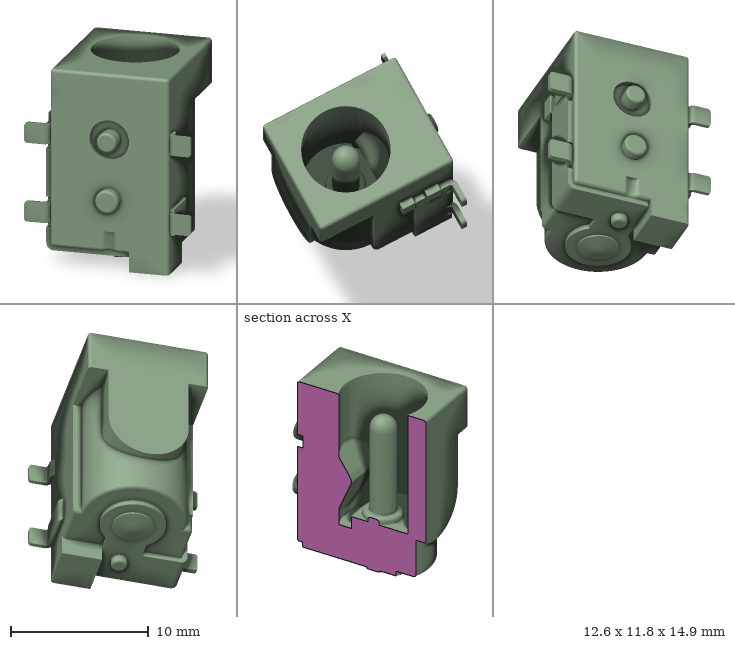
import cadquery as cq
import math


body_width = 9.0
body_rear = 11.0
body_depth = 13.48
total_depth = 14.9
collar_depth = 3.4
edge_radius = 0.25
half_width = body_width / 2

axis_y = 6.5
flank_y = 6.57
barrel_radius = 3.9
bore_radius = 3.25
bore_depth = 10.0
shoulder_radius = 1.5
shoulder_height = 0.5
pin_radius = 1.0
pin_tip_depth = 1.65

boss_radius = 3.0
boss_centre_depth = 7.7

leg_inner_x = 1.5
leg_rear = 3.4

spring_front = 3.0
spring_edge_y = 4.68
spring_slot_rear = 4.63
spring_half_width = 1.97
spring_top_depth = 4.5
spring_fold_y = 4.38
spring_fold_depth = 6.5
spring_slot_extra = 1.0
spring_edge_angle = math.radians(75)

peg_length = 0.8
peg_fillet = 0.2
upper_peg_depth = 5.0
upper_peg_radius = 0.75
peg_recess_radius = 1.5
peg_recess = 0.5
lower_peg_depth = 9.5
lower_peg_radius = 0.87
notch_top_depth = 11.96
notch_half_width = 0.59
notch_lip_radius = 0.27
notch_lip_angle = math.radians(45)
flank_relief_radius = 0.37

plate_thickness = 0.4
plate_outer_x = half_width + plate_thickness
plate_front = 0.4
plate_bend_outer = 0.55
plate_bend_inner = plate_bend_outer - plate_thickness
plate_end_radius = 0.18
lobe_radius = 2.4
neck_half_width = leg_inner_x
neck_fillet = 0.2
tab_width = 1.5
tab_top_depths = (4.26, 10.24)
foot_corner_radius = 0.22
left_foot_tip = 6.46
left_bend_inner = 0.2
slot_width = 0.4
slot_end_radius = 0.195
slot_end_y = 0.83
lug_corner_radius = 0.2

blocks = ((1.38, 2.46), (3.5, 4.5))
block_top_depth = 3.73
block_bottom_depth = 5.24
block_height = 0.53
block_clearance = 0.06

contact_thickness = 0.3
contact_bend_inner = 0.15
right_foot_tip = 6.16
upper_contact_rear = 1.33
lower_contact_rear = 3.8
contact_tail_radius = 0.5
wide_contact_depths = (10.0, 11.97)

rivet_radius = 1.52
rivet_rim = 0.12
rivet_tip_depth = 14.33
bottom_peg_y = 2.52
bottom_peg_radius = 0.6
bottom_peg_depth = 14.5


def box(x_range, y_range, depth_range):
    """Axis-aligned block; the depth range runs from its top to its bottom."""
    x0, x1 = x_range
    y0, y1 = y_range
    top, bottom = depth_range
    return cq.Workplane("XY").box(x1 - x0, y1 - y0, bottom - top, centered=False).translate((x0, y0, -bottom))


def post(radius, x, y, top, bottom):
    """Vertical cylinder between two depths."""
    return cq.Workplane("XY").center(x, y).circle(radius).extrude(bottom - top).translate((0, 0, -bottom))


def front_post(radius, depth, y_start, y_end):
    """Cylinder along Y, centred on X = 0."""
    plane = cq.Workplane("XZ", origin=(0, y_start, -depth))
    return plane.circle(radius).extrude(y_start - y_end)


def make_housing():
    collar = box((-half_width, half_width), (0, body_rear), (0, collar_depth))
    collar = collar.edges("|Z").fillet(edge_radius)
    collar = collar.faces(">Z").edges().fillet(edge_radius)

    trunk = box((-half_width, half_width), (0, flank_y), (edge_radius, body_depth))
    trunk = trunk.edges("|Z and <Y").fillet(edge_radius)
    trunk = trunk.cut(make_front_notch()).cut(make_flank_relief())
    trunk = trunk.faces("<Z").edges("not >Y").fillet(edge_radius)

    barrel = post(barrel_radius, 0, axis_y, collar_depth, body_depth)
    barrel = barrel.faces("<Z").edges().fillet(edge_radius)

    boss = box((-boss_radius, boss_radius), (axis_y, body_rear), (collar_depth, boss_centre_depth))
    boss = boss.union(front_post(boss_radius, boss_centre_depth, axis_y, body_rear))

    leg = box((leg_inner_x, half_width), (0, leg_rear), (collar_depth, total_depth))
    leg = leg.edges("|Z and >X and <Y").fillet(edge_radius)

    return collar.union(trunk).union(barrel).union(boss).union(leg)


def make_bore():
    """Round socket whose front segment, behind the spring, is sunk a little deeper."""
    bore = post(bore_radius, 0, axis_y, 0, bore_depth)
    deep = post(bore_radius, 0, axis_y, 0, bore_depth + spring_slot_extra)
    segment = box((-half_width, half_width), (0, spring_slot_rear), (0, total_depth))
    return bore.union(deep.intersect(segment))


def make_centre_pin():
    shoulder = post(shoulder_radius, 0, axis_y, bore_depth - shoulder_height, bore_depth)
    shoulder = shoulder.faces(">Z").edges().fillet(edge_radius)
    dome_depth = pin_tip_depth + pin_radius
    shaft = post(pin_radius, 0, axis_y, dome_depth, bore_depth)
    dome = cq.Workplane("XY").sphere(pin_radius).translate((0, axis_y, -dome_depth))
    return shoulder.union(shaft).union(dome)


def make_spring():
    """Sloped contact spring that leans towards the pin and steepens along a curve to its edge."""
    floor = -(bore_depth + spring_slot_extra)
    steepness = math.atan2(spring_fold_depth - spring_top_depth, spring_fold_y - spring_front)
    curve_radius = (spring_edge_y - spring_fold_y) / (math.sin(spring_edge_angle) - math.sin(steepness))
    edge_depth = spring_fold_depth + curve_radius * (math.cos(steepness) - math.cos(spring_edge_angle))
    profile = (
        cq.Workplane("YZ", origin=(-spring_half_width, 0, 0))
        .moveTo(spring_front, floor)
        .lineTo(spring_front, -spring_top_depth)
        .lineTo(spring_fold_y, -spring_fold_depth)
        .tangentArcPoint((spring_edge_y, -edge_depth), relative=False)
        .close()
    )
    return profile.extrude(2 * spring_half_width)


def make_front_notch():
    """Shallow scooped groove at the foot of the mounting face, with rounded lips."""
    angle = notch_lip_angle
    half_angle = angle / 2
    scoop_half_width = notch_half_width - notch_lip_radius * math.sin(angle)
    scoop_radius = scoop_half_width / math.sin(angle)
    lip_drop = notch_lip_radius * (1 - math.cos(angle))
    scoop_bottom = lip_drop + scoop_radius * (1 - math.cos(angle))
    lip_mid_x = notch_half_width - notch_lip_radius * math.sin(half_angle)
    lip_mid_y = notch_lip_radius * (1 - math.cos(half_angle))
    notch = (
        cq.Workplane("XY")
        .moveTo(-notch_half_width, 0)
        .threePointArc((-lip_mid_x, lip_mid_y), (-scoop_half_width, lip_drop))
        .threePointArc((0, scoop_bottom), (scoop_half_width, lip_drop))
        .threePointArc((lip_mid_x, lip_mid_y), (notch_half_width, 0))
        .close()
    )
    return notch.extrude(body_depth - notch_top_depth).translate((0, 0, -body_depth))


def make_flank_relief():
    """Rounds off the lower rear corner of the -X side, next to the barrel."""
    x_range = (-half_width, -half_width + flank_relief_radius)
    y_range = (flank_y - flank_relief_radius, flank_y)
    corner = box(x_range, y_range, (notch_top_depth, body_depth))
    rounding = post(flank_relief_radius, x_range[1], y_range[0], notch_top_depth, body_depth)
    return corner.cut(rounding)


def make_front_peg(radius, depth, root_y):
    peg = front_post(radius, depth, root_y, -peg_length)
    return peg.faces("<Y").edges().fillet(peg_fillet)


def make_bent_tab(side, wall_x, thickness, bend_inner, rear, tip_x, top, bottom):
    """Strip lying on a side wall that bends outwards into a soldering foot at Y = 0."""
    bend_outer = bend_inner + thickness
    bend_x = wall_x + bend_outer
    diagonal = math.sqrt(0.5)
    strip = (
        cq.Workplane("XY")
        .moveTo(side * wall_x, rear)
        .lineTo(side * wall_x, bend_outer)
        .threePointArc(
            (side * (bend_x - bend_outer * diagonal), bend_outer * (1 - diagonal)),
            (side * bend_x, 0),
        )
        .lineTo(side * tip_x, 0)
        .lineTo(side * tip_x, thickness)
        .lineTo(side * bend_x, thickness)
        .threePointArc(
            (side * (bend_x - bend_inner * diagonal), bend_outer - bend_inner * diagonal),
            (side * (wall_x + thickness), bend_outer),
        )
        .lineTo(side * (wall_x + thickness), rear)
        .close()
        .extrude(bottom - top)
        .translate((0, 0, -bottom))
    )
    tip_face = ">X" if side > 0 else "<X"
    return strip.faces(tip_face).edges("|Y").fillet(foot_corner_radius)


def make_relief_slot(top):
    """Slot with a rounded inner end in the front edge of the side plate, beside a soldering tab."""
    x_range = (-plate_outer_x, -half_width)
    slot = box(x_range, (0, slot_end_y), (top, top + slot_width))
    return slot.edges("|X and >Y").fillet(slot_end_radius)


def make_side_plate():
    top = tab_top_depths[0]
    floor_depth = body_depth + plate_thickness

    outer = box((-plate_outer_x, leg_inner_x), (plate_front, leg_rear), (top, floor_depth))
    outer = outer.edges("|Y and <X and <Z").fillet(plate_bend_outer)
    outer = outer.edges("|Z and >X and <Y").fillet(plate_end_radius)
    inner = box((-half_width, half_width), (plate_front, leg_rear), (top, body_depth))
    inner = inner.edges("|Y and <X and <Z").fillet(plate_bend_inner)
    plate = outer.cut(inner)

    block_front, block_rear = blocks[0]
    plate = plate.cut(
        box(
            (-plate_outer_x, -half_width),
            (block_front - block_clearance, block_rear + block_clearance),
            (top, block_bottom_depth),
        )
    )
    plate = plate.faces(">Z").edges("|X").fillet(lug_corner_radius)

    upper_tab, lower_tab = tab_top_depths
    for slot_top in (upper_tab + tab_width, lower_tab - slot_width, lower_tab + tab_width):
        plate = plate.cut(make_relief_slot(slot_top))

    for tab_top in tab_top_depths:
        tab_bottom = tab_top + tab_width
        plate = plate.cut(box((-plate_outer_x, -half_width), (0, slot_end_y), (tab_top, tab_bottom)))
        tab = make_bent_tab(
            -1,
            half_width,
            plate_thickness,
            left_bend_inner,
            slot_end_y,
            left_foot_tip,
            tab_top,
            tab_bottom,
        )
        plate = plate.union(tab)

    neck = box((-neck_half_width, neck_half_width), (leg_rear, axis_y), (body_depth, floor_depth))
    fillet_x = -neck_half_width - neck_fillet
    fillet_y = leg_rear + neck_fillet
    corner = box((fillet_x, -neck_half_width), (leg_rear, fillet_y), (body_depth, floor_depth))
    corner = corner.cut(post(neck_fillet, fillet_x, fillet_y, body_depth, floor_depth))
    neck = neck.union(corner)
    lobe = post(lobe_radius, 0, axis_y, body_depth, floor_depth)
    return plate.union(neck).union(lobe)


def make_right_contact(rear, foot_top, plate_top, plate_bottom):
    """Contact on the +X side: a bent foot plus a tail plate that curves into the wall at its rear."""
    contact = make_bent_tab(
        1,
        half_width,
        contact_thickness,
        contact_bend_inner,
        upper_contact_rear - contact_tail_radius,
        right_foot_tip,
        foot_top,
        foot_top + tab_width,
    )
    outer_x = half_width + contact_thickness
    root_x = outer_x - contact_tail_radius
    diagonal = contact_tail_radius * math.sqrt(0.5)
    arc_y = rear - contact_tail_radius
    tail = (
        cq.Workplane("XY")
        .moveTo(root_x, contact_bend_inner + contact_thickness)
        .lineTo(outer_x, contact_bend_inner + contact_thickness)
        .lineTo(outer_x, arc_y)
        .threePointArc((root_x + diagonal, arc_y + diagonal), (root_x, rear))
        .close()
        .extrude(plate_bottom - plate_top)
        .translate((0, 0, -plate_bottom))
    )
    return contact.union(tail)


def make_block(y_range):
    return box((-half_width - block_height, -half_width), y_range, (block_top_depth, block_bottom_depth))


def make_rivet_head():
    start = body_depth + plate_thickness
    head = (
        cq.Workplane("XZ")
        .moveTo(0, -body_depth)
        .lineTo(rivet_radius, -body_depth)
        .lineTo(rivet_radius, -(start + rivet_rim))
        .lineTo(0, -rivet_tip_depth)
        .close()
        .revolve(360, (0, 0, 0), (0, 1, 0))
    )
    return head.translate((0, axis_y, 0))


def make_bottom_peg():
    peg = post(bottom_peg_radius, 0, bottom_peg_y, body_depth, bottom_peg_depth)
    return peg.faces("<Z").edges().fillet(peg_fillet)


bore = make_bore()
jack = make_housing().cut(bore)
jack = jack.union(make_centre_pin()).union(make_spring().intersect(bore))

jack = jack.cut(front_post(peg_recess_radius, upper_peg_depth, peg_recess, 0))
jack = jack.union(make_front_peg(upper_peg_radius, upper_peg_depth, peg_recess))
jack = jack.union(make_front_peg(lower_peg_radius, lower_peg_depth, edge_radius))

jack = jack.union(make_side_plate())
for block_range in blocks:
    jack = jack.union(make_block(block_range))

upper_foot_top, lower_foot_top = tab_top_depths
jack = jack.union(
    make_right_contact(upper_contact_rear, upper_foot_top, upper_foot_top, upper_foot_top + tab_width)
)
jack = jack.union(make_right_contact(lower_contact_rear, lower_foot_top, *wide_contact_depths))

result = jack.union(make_rivet_head()).union(make_bottom_peg())